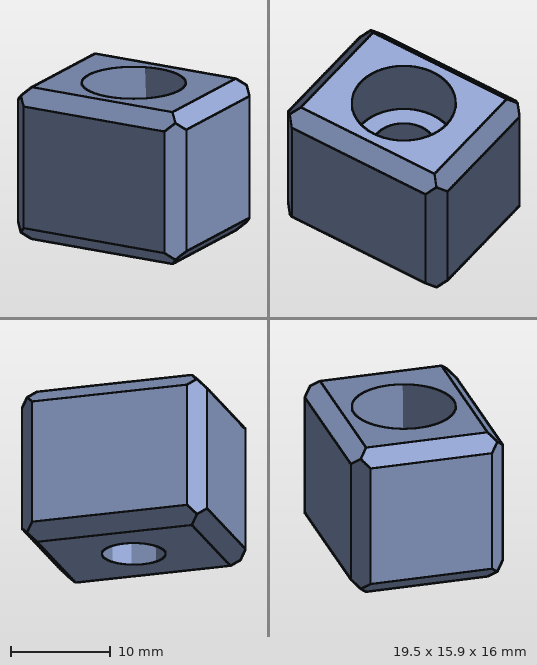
import cadquery as cq

length = 19.5
width = 15.9
height = 16.0
edge_chamfer = 1.6

hole_diameter = 6.4
counterbore_diameter = 10.43
counterbore_depth = 6.2


def bar_chamfered_along(axis):
    """Full-size block with only the four edges parallel to the axis chamfered."""
    return cq.Workplane("XY").box(length, width, height).edges("|" + axis).chamfer(edge_chamfer)


block = bar_chamfered_along("X")
for axis in ("Y", "Z"):
    block = block.intersect(bar_chamfered_along(axis))

result = block.faces(">Z").workplane(origin=(0, 0, 0)).cboreHole(
    hole_diameter, counterbore_diameter, counterbore_depth
)